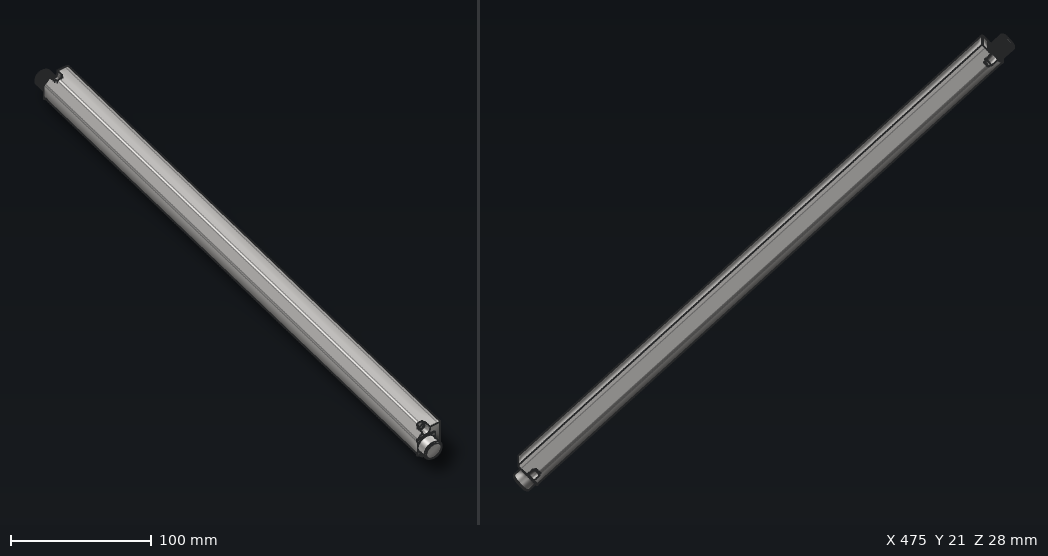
import cadquery as cq
import math

total_length = 475.0
depth = 21.0
height = 28.0
left_end = -total_length / 2
right_end = total_length / 2
back = depth / 2
front = -depth / 2
half_height = height / 2

housing_left = left_end + 13.5
housing_right = right_end - 10.0
back_taper_depth = 3.0
back_taper_drop = 0.5
flat_end = -4.0
nose_half_height = 6.5
edge_radius = 2.5

back_bevel_depth = 1.0
back_bevel_length = 0.5

connector_y = -3.0
pad_half_width = 7.5
pad_thickness = 1.0

head_length = 6.0
head_radius = 3.5
shank_length = 2.0
shank_radius = 2.5
channel_y = -2.5
channel_axis_z = half_height - 2.5

plug_diameter = 13.5
thread_pitch = 1.0
thread_depth = 0.5
plug_chamfer = 1.0
socket_diameter = 9.5
socket_depth = 8.5
pin_diameter = 1.5
pin_circle_radius = 2.5
pin_count = 4
pin_length = 6.5

cap_diameter = 15.0
cap_chamfer = 1.0


def rod(diameter, x_start, x_end, y=connector_y, z=0.0):
    """Cylinder along X between two X positions."""
    plane = cq.Workplane("YZ", origin=(x_start, y, z))
    return plane.circle(diameter / 2).extrude(x_end - x_start)


def make_housing():
    """Bar whose front tapers to a narrow nose and whose back edges fall slightly away."""
    upper = [
        (back, half_height - back_taper_drop),
        (back - back_taper_depth, half_height),
        (flat_end, half_height),
        (front, nose_half_height),
    ]
    lower = [(y, -z) for y, z in reversed(upper)]
    bar = (
        cq.Workplane("YZ", origin=(housing_left, 0, 0))
        .polyline(upper + lower)
        .close()
        .extrude(housing_right - housing_left)
    )
    front_corners = cq.selectors.BoxSelector(
        (left_end, front - edge_radius, -height),
        (right_end, flat_end + edge_radius, height),
    )
    bar = bar.edges("|X").edges(front_corners).fillet(edge_radius)
    plan_outline = [
        (housing_left, front),
        (housing_right, front),
        (housing_right, back - back_bevel_depth),
        (housing_right - back_bevel_length, back),
        (housing_left + back_bevel_length, back),
        (housing_left, back - back_bevel_depth),
    ]
    plan = cq.Workplane("XY").polyline(plan_outline).close().extrude(half_height, both=True)
    return bar.intersect(plan)


def make_pad(x_start):
    """Square pad under a connector, level with the front face."""
    return cq.Workplane("XY").box(
        pad_thickness, 2 * pad_half_width, 2 * pad_half_width, centered=(False, False, True)
    ).translate((x_start, front, 0))


def make_channel(x_start, length, radius, side):
    """Round-bottomed cutter, open to the top (side = 1) or the bottom (side = -1)."""
    axis_z = side * channel_axis_z
    bottom = rod(2 * radius, x_start, x_start + length, channel_y, axis_z)
    opening = cq.Workplane("XY").box(
        length, 2 * radius, half_height, centered=(False, True, True)
    ).translate((x_start, channel_y, axis_z + side * half_height / 2))
    return bottom.union(opening)


def make_threaded_plug():
    """Hollow plug with ring-shaped thread grooves and contact pins."""
    plug = rod(plug_diameter, left_end, housing_left).faces("<X").chamfer(plug_chamfer)
    groove_count = int((housing_left - pad_thickness - left_end - plug_chamfer) / thread_pitch)
    for index in range(groove_count):
        groove_start = left_end + plug_chamfer + (index + 0.5) * thread_pitch
        groove_end = groove_start + thread_pitch / 2
        ring = rod(plug_diameter, groove_start, groove_end).cut(
            rod(plug_diameter - 2 * thread_depth, groove_start, groove_end)
        )
        plug = plug.cut(ring)
    socket_floor = left_end + socket_depth
    plug = plug.cut(rod(socket_diameter, left_end, socket_floor))
    for index in range(pin_count):
        angle = 2 * math.pi * index / pin_count
        pin_y = connector_y + pin_circle_radius * math.cos(angle)
        pin_z = pin_circle_radius * math.sin(angle)
        pin = rod(pin_diameter, socket_floor - pin_length, socket_floor + pin_diameter, pin_y, pin_z)
        plug = plug.union(pin)
    return plug


def make_smooth_plug():
    """Plain round plug with a chamfered outer end."""
    return rod(cap_diameter, housing_right, right_end).faces(">X").chamfer(cap_chamfer)


result = make_housing()
channel_length = head_length + shank_length
for side in (1, -1):
    for head_start in (housing_left, housing_right - head_length):
        result = result.cut(make_channel(head_start, head_length, head_radius, side))
    for shank_start in (housing_left, housing_right - channel_length):
        result = result.cut(make_channel(shank_start, channel_length, shank_radius, side))
for pad_start in (housing_left - pad_thickness, housing_right):
    result = result.union(make_pad(pad_start))
result = result.union(make_threaded_plug()).union(make_smooth_plug())